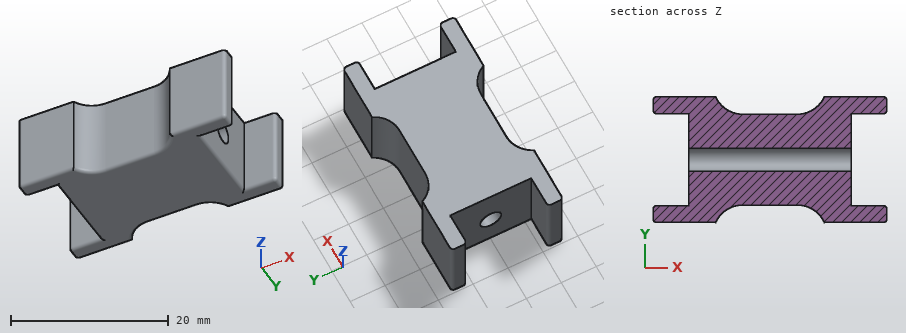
import cadquery as cq

LENGTH = 29.73
WIDTH = 16.0
HEIGHT = 11.2

ARM_THICKNESS = 2.2
SLOT_DEPTH = 4.54
SLOT_WIDTH = WIDTH - 2 * ARM_THICKNESS

WAIST_DEPTH = 2.2
WAIST_FLAT_LENGTH = 7.0
WAIST_RADIUS = 3.7

HOLE_DIAMETER = 3.0
HOLE_HEIGHT = 5.2

EDGE_RADIUS = 0.5


def end_slot(side):
    """Full-height slot opening at the -X (side = -1) or +X (side = 1) end."""
    return cq.Workplane("XY").box(SLOT_DEPTH, SLOT_WIDTH, HEIGHT, centered=(True, True, False)).translate(
        (side * (LENGTH - SLOT_DEPTH) / 2, 0, 0)
    )


def waist_recess(side):
    """Full-height recess in the -Y (side = -1) or +Y (side = 1) face.

    Its arcs are tangent to the floor; they belong to a rounded slot that extends
    beyond the side face.
    """
    slot_length = WAIST_FLAT_LENGTH + 2 * WAIST_RADIUS
    slot_center_y = side * (WIDTH / 2 - WAIST_DEPTH + WAIST_RADIUS)
    return (
        cq.Workplane("XY")
        .center(0, slot_center_y)
        .slot2D(slot_length, 2 * WAIST_RADIUS)
        .extrude(HEIGHT)
    )


def through_hole():
    """Round bore along X through the core."""
    return (
        cq.Workplane("YZ", origin=(-LENGTH / 2, 0, 0))
        .center(0, HOLE_HEIGHT)
        .circle(HOLE_DIAMETER / 2)
        .extrude(LENGTH)
    )


body = cq.Workplane("XY").box(LENGTH, WIDTH, HEIGHT, centered=(True, True, False))
for side in (-1, 1):
    body = body.cut(end_slot(side)).cut(waist_recess(side))

body = body.faces("<X or >X").edges("|Z").fillet(EDGE_RADIUS)
body = body.faces("<Z").edges().fillet(EDGE_RADIUS)

result = body.cut(through_hole())